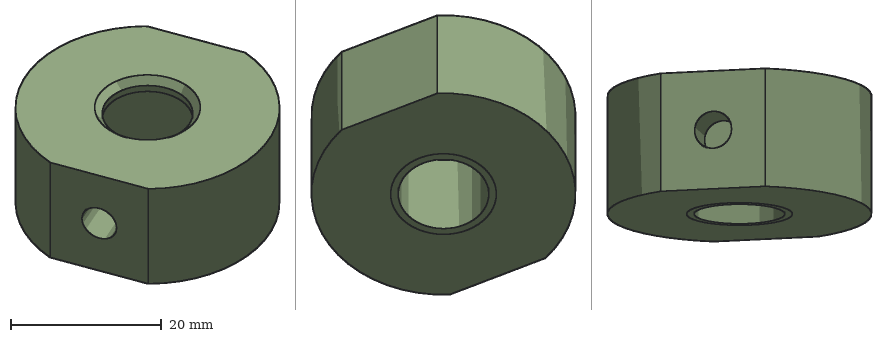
import cadquery as cq

body_diameter = 35.0
width_across_flats = 32.0
body_height = 16.0

bore_diameter = 12.0
chamfer_size = 1.0

lip_length = 1.0
sleeve_wall = 1.0

side_hole_diameter = 5.0
side_hole_depth = 6.0

top_z = body_height / 2
bottom_z = -top_z
sleeve_outer_diameter = bore_diameter + 2 * sleeve_wall
sleeve_length = body_height - chamfer_size - lip_length


def cylinder_up(diameter, length, base_z):
    """Upright cylinder on the Z axis, starting at base_z."""
    return cq.Workplane("XY").workplane(offset=base_z).circle(diameter / 2).extrude(length)


def make_housing():
    """Round block with two flats, a chamfered bore, a sleeve seat and a side hole."""
    housing = cylinder_up(body_diameter, body_height, bottom_z)
    flats_envelope = cq.Workplane("XY").box(body_diameter, width_across_flats, body_height)
    housing = housing.intersect(flats_envelope)

    housing = housing.cut(cylinder_up(bore_diameter, body_height, bottom_z))
    bore_rim = cq.selectors.RadiusNthSelector(0)
    housing = housing.faces(">Z").edges(bore_rim).chamfer(chamfer_size)

    sleeve_seat = cylinder_up(sleeve_outer_diameter, sleeve_length, bottom_z)
    housing = housing.cut(sleeve_seat)

    side_hole = (
        cq.Workplane("XZ", origin=(0, -width_across_flats / 2, 0))
        .circle(side_hole_diameter / 2)
        .extrude(-side_hole_depth)
    )
    return housing.cut(side_hole)


def make_sleeve():
    """Plain bushing seated below the bore lip, flush with the bottom face."""
    sleeve = cylinder_up(sleeve_outer_diameter, sleeve_length, bottom_z)
    return sleeve.cut(cylinder_up(bore_diameter, sleeve_length, bottom_z))


housing = make_housing()
sleeve = make_sleeve()

result = cq.Compound.makeCompound([housing.val(), sleeve.val()])